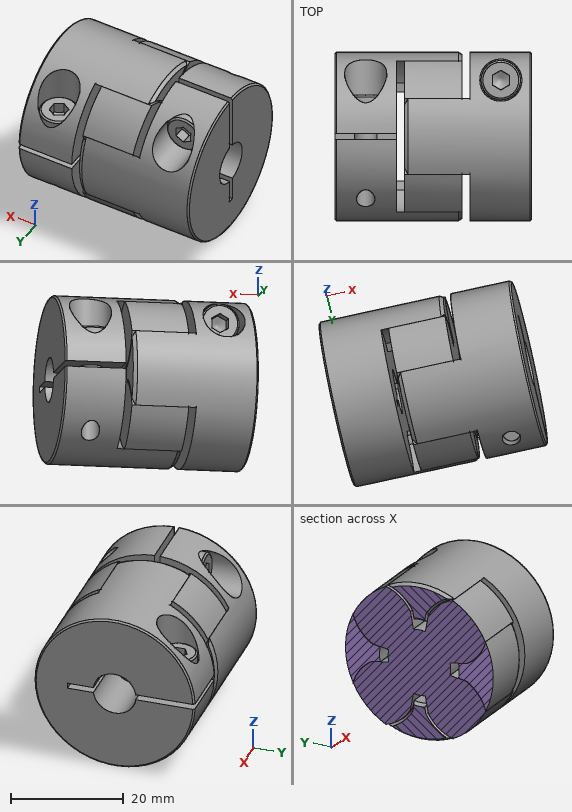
import cadquery as cq
import math


length = 35.0
outer_diameter = 30.0

hub_length = 11.0
bore_radius = 4.0
rim_chamfer = 0.3
slot_width = 1.0
slot_depth = 8.82

spider_length = 10.3
jaw_inner_radius = 8.0
flank_angle = 10.5
flank_outer_radius = 9.65
jaw_half_width = 6.75
curved_flank_radius = 8.4
tip_chamfer_length = 0.7
tip_chamfer_depth = 0.42
core_radius = 6.37
hub_jaw_angles = (90, 270)
all_jaw_angles = (0, 90, 180, 270)

screw_height = 10.0
shank_diameter = 4.0
shank_length = 10.0
head_diameter = 7.0
head_height = 4.0
head_top = 7.35
head_chamfer = 0.3
socket_width = 3.0
socket_depth = 2.0
socket_cone_angle = 60.0
counterbore_diameter = 7.5
clearance_diameter = 4.1
thread_exit_diameter = 3.25

outer_radius = outer_diameter / 2
hub_outer_x = -length / 2
hub_inner_x = hub_outer_x + hub_length
screw_x = hub_outer_x + hub_length / 2
shoulder_x = spider_length / 2 - tip_chamfer_length
seat_y = head_top - head_height
shank_tip_y = seat_y - shank_length


def polar(radius, degrees_from_z):
    """Point in the YZ plane at an angle measured from +Z towards +Y."""
    angle = math.radians(degrees_from_z)
    return radius * math.sin(angle), radius * math.cos(angle)


def jaw_outline(start_x, inner_radius):
    """Outline of the +Z jaw in the YZ plane: concave sides, narrow root, round back."""
    corner_angle = math.degrees(math.asin(jaw_half_width / outer_radius))
    return (
        cq.Workplane("YZ", origin=(start_x, 0, 0))
        .moveTo(*polar(inner_radius, flank_angle))
        .lineTo(*polar(flank_outer_radius, flank_angle))
        .radiusArc(polar(outer_radius, corner_angle), curved_flank_radius)
        .threePointArc((0, outer_radius), polar(outer_radius, -corner_angle))
        .radiusArc(polar(flank_outer_radius, -flank_angle), curved_flank_radius)
        .lineTo(*polar(inner_radius, -flank_angle))
        .threePointArc((0, inner_radius), polar(inner_radius, flank_angle))
        .close()
    )


def disc_between_jaws(start_x, thickness, inner_radius, jaw_angles):
    """Disc with the jaw outline cut out of it at each angle about X."""
    disc = cq.Workplane("YZ", origin=(start_x, 0, 0)).circle(outer_radius).extrude(thickness)
    jaw = jaw_outline(start_x, inner_radius).extrude(thickness)
    for angle in jaw_angles:
        disc = disc.cut(jaw.rotate((0, 0, 0), (1, 0, 0), angle))
    return disc


def rod_along_y(diameter, start_y, end_y):
    """Cylinder on the screw axis between two Y positions."""
    return (
        cq.Workplane("XZ", origin=(screw_x, start_y, screw_height))
        .circle(diameter / 2)
        .extrude(start_y - end_y)
    )


def make_hub():
    """Clamping hub at -X with jaws on +Y and -Y and its clamp slot on +Z."""
    blank = (
        cq.Workplane("YZ", origin=(hub_outer_x, 0, 0))
        .circle(outer_radius)
        .extrude(shoulder_x - hub_outer_x)
        .rotate((0, 0, 0), (1, 0, 0), 90)
        .faces("<X").edges().chamfer(rim_chamfer)
    )

    jaw_length = shoulder_x - hub_inner_x
    hub = blank.cut(disc_between_jaws(hub_inner_x, jaw_length, jaw_inner_radius, hub_jaw_angles))
    tip_taper = math.degrees(math.atan2(tip_chamfer_depth, tip_chamfer_length))
    tip = jaw_outline(shoulder_x, jaw_inner_radius).extrude(tip_chamfer_length, taper=tip_taper)
    for angle in hub_jaw_angles:
        hub = hub.union(tip.rotate((0, 0, 0), (1, 0, 0), angle))

    bore = cq.Workplane("YZ", origin=(hub_outer_x, 0, 0)).circle(bore_radius).extrude(hub_length)
    slot = (
        cq.Workplane("XY", origin=(hub_outer_x, 0, -slot_depth))
        .box(hub_length, slot_width, slot_depth + outer_radius, centered=(False, True, False))
    )
    hub = hub.cut(bore).cut(slot)

    hub = hub.cut(rod_along_y(counterbore_diameter, outer_radius, seat_y))
    hub = hub.cut(rod_along_y(clearance_diameter, seat_y, 0))
    hub = hub.cut(rod_along_y(shank_diameter, 0, shank_tip_y))
    return hub.cut(rod_along_y(thread_exit_diameter, shank_tip_y, -outer_radius))


def make_socket():
    """Hexagon socket with a conical bottom, two corners pointing along Z."""
    hexagon_turn = 30
    corner_radius = socket_width / 2 / math.cos(math.radians(hexagon_turn))
    cone_depth = corner_radius / math.tan(math.radians(socket_cone_angle))
    total_depth = socket_depth + cone_depth
    hexagon = (
        cq.Workplane("XZ", origin=(screw_x, head_top, screw_height))
        .transformed(rotate=(0, 0, hexagon_turn))
        .polygon(6, 2 * corner_radius)
        .extrude(total_depth)
    )
    drill = (
        cq.Workplane("XY")
        .polyline([(0, 0), (corner_radius, 0), (corner_radius, -socket_depth), (0, -total_depth)])
        .close()
        .revolve(360, (0, 0), (0, 1))
        .translate((screw_x, head_top, screw_height))
    )
    return hexagon.intersect(drill)


def make_screw():
    """Socket-head clamp screw of the -X hub, head towards +Y."""
    head = rod_along_y(head_diameter, head_top, seat_y).faces(">Y").edges().chamfer(head_chamfer)
    shank = rod_along_y(shank_diameter, seat_y, shank_tip_y)
    return head.union(shank).cut(make_socket())


def make_spider():
    """Solid core with four diagonal legs that fill the spaces between the jaws."""
    return disc_between_jaws(-spider_length / 2, spider_length, core_radius, all_jaw_angles)


def half_turn(body):
    """Move a body of the -X hub to the matching place on the +X hub."""
    return body.rotate((0, 0, 0), (0, 1, 1), 180)


hub_template = make_hub()
screw_template = make_screw()
hubs = [hub_template, half_turn(hub_template)]
screws = [screw_template, half_turn(screw_template)]
spider = make_spider()

result = cq.Compound.makeCompound([body.solids().val() for body in [*hubs, *screws, spider]])